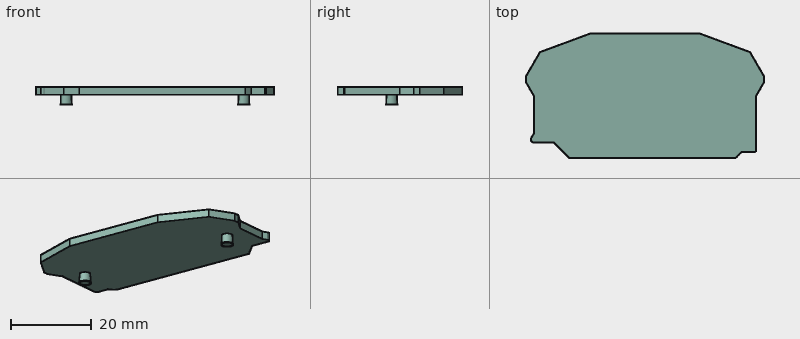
import cadquery as cq
import math

plate_width = 59.0
plate_height = 30.9
plate_thickness = 2.0

top_edge_half = 13.6
shoulder_y = 26.3
ear_top_y = 20.3
ear_bottom_y = 18.8
ear_overhang = 2.0
ear_angle = math.radians(60)

left_ledge_y = 3.85
bottom_left_x = -18.75
right_ledge_y = 1.5
bottom_right_x = 22.4
right_corner_chamfer = 0.25
toe_radius = 0.8

pin_x = 22.0
pin_y = 13.4
pin_length = 2.5
pin_root_diameter = 2.7
pin_shank_end_diameter = 2.8
pin_rim_diameter = 3.0
pin_rim_height = 0.2

ear_x = plate_width / 2
side_x = ear_x - ear_overhang
shoulder_x = ear_x - (shoulder_y - ear_top_y) / math.tan(ear_angle)
waist_y = ear_bottom_y - ear_overhang * math.tan(ear_angle)


def toe_point(angle_degrees):
    """Point on the rounded toe, whose centre lies in line with the left side."""
    angle = math.radians(angle_degrees)
    centre_y = left_ledge_y + toe_radius
    return (-side_x + toe_radius * math.cos(angle), centre_y + toe_radius * math.sin(angle))


def make_plate():
    """Flat plate with two ears, a rounded toe at lower left and 45 degree bottom slopes."""
    toe_start_angle = 150
    toe_end_angle = 270
    toe_middle_angle = (toe_start_angle + toe_end_angle) / 2
    neck_y = left_ledge_y + toe_radius + toe_radius / math.cos(ear_angle)

    outline = (
        cq.Workplane("XY")
        .moveTo(top_edge_half, plate_height)
        .lineTo(-top_edge_half, plate_height)
        .lineTo(-shoulder_x, shoulder_y)
        .lineTo(-ear_x, ear_top_y)
        .lineTo(-ear_x, ear_bottom_y)
        .lineTo(-side_x, waist_y)
        .lineTo(-side_x, neck_y)
        .lineTo(*toe_point(toe_start_angle))
        .threePointArc(toe_point(toe_middle_angle), toe_point(toe_end_angle))
        .lineTo(bottom_left_x - left_ledge_y, left_ledge_y)
        .lineTo(bottom_left_x, 0)
        .lineTo(bottom_right_x, 0)
        .lineTo(bottom_right_x + right_ledge_y, right_ledge_y)
        .lineTo(side_x, right_ledge_y)
        .lineTo(side_x, waist_y)
        .lineTo(ear_x, ear_bottom_y)
        .lineTo(ear_x, ear_top_y)
        .lineTo(shoulder_x, shoulder_y)
        .close()
    )
    plate = outline.extrude(plate_thickness)
    right_corner = cq.selectors.NearestToPointSelector((side_x, right_ledge_y, plate_thickness / 2))
    return plate.edges("|Z").edges(right_corner).chamfer(right_corner_chamfer)


def make_pin(x):
    """Round pin whose shank widens downwards and ends in a short straight rim."""
    shank = (
        cq.Workplane("XY")
        .center(x, pin_y)
        .circle(pin_root_diameter / 2)
        .workplane(offset=-(pin_length - pin_rim_height))
        .circle(pin_shank_end_diameter / 2)
        .loft()
    )
    rim = (
        cq.Workplane("XY", origin=(x, pin_y, -pin_length))
        .circle(pin_rim_diameter / 2)
        .extrude(pin_rim_height)
    )
    return shank.union(rim)


result = make_plate()
for x in (-pin_x, pin_x):
    result = result.union(make_pin(x))